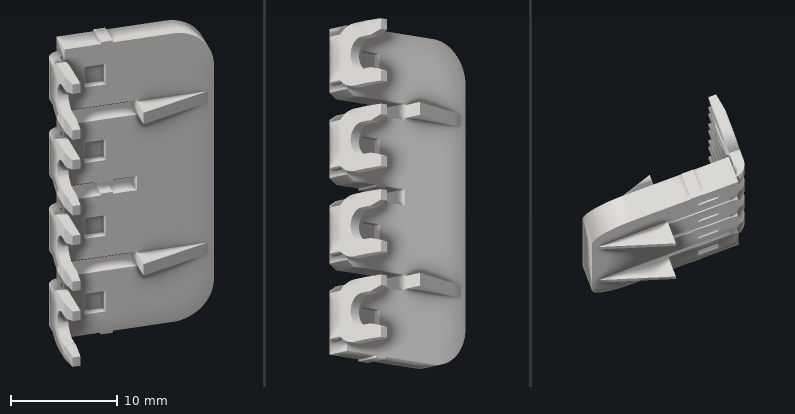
import cadquery as cq
import math


overall_length = 31.55
tooth_count = 4
tooth_pitch = 8.17
slot_width = 1.55
slot_depth = 7.1

plate_thickness = 2.55
plate_depth = 14.67
plate_length = tooth_count * tooth_pitch - slot_width
corner_radius = 4.0
tip_chamfer_y = 0.82
tip_chamfer_z = 0.55

bump_start = 3.6
bump_width = 1.17
bump_height = (overall_length - plate_length) / 2

fin_reach = 3.5
fin_thickness = 1.23
fin_back_margin = 0.63

window_start = 2.0
window_width = 2.05
window_height = 2.2

terminal_left = -0.55
metal_thickness = 1.05
terminal_drop = 1.3
bend_inner_radius = terminal_drop - metal_thickness
bend_center_x = terminal_left + terminal_drop
neck_height = 4.4
fork_height = 5.95
fork_center_x = 3.82
fork_tip_x = 7.35
fork_slot_width = 3.1
fork_slot_center_x = 4.85
flare_start_x = 6.12
flare_mouth_width = 3.95
thinning_start_x = 5.68
tip_thinning = 0.28

tooth_centers = [(i - (tooth_count - 1) / 2) * tooth_pitch for i in range(tooth_count)]
fin_centers = [-tooth_pitch, tooth_pitch]


def box(x_range, y_range, z_range):
    """Block spanning the given (low, high) ranges."""
    low, high = zip(x_range, y_range, z_range)
    size = [b - a for a, b in zip(low, high)]
    return cq.Workplane("XY").box(*size, centered=False).translate(low)


def centered_range(center, size):
    return (center - size / 2, center + size / 2)


def make_slot(z_center):
    """Gap between two teeth, widened at its mouth by the tooth tip chamfers."""
    half = slot_width / 2
    mouth = half + tip_chamfer_z
    outline = [
        (slot_depth, -half),
        (slot_depth, half),
        (tip_chamfer_y, half),
        (0, mouth),
        (0, -mouth),
        (tip_chamfer_y, -half),
    ]
    slot = cq.Workplane("YZ").polyline(outline).close().extrude(plate_thickness / 2, both=True)
    return slot.translate((0, 0, z_center))


def make_plate():
    x_range = centered_range(0, plate_thickness)
    plate = box(x_range, (0, plate_depth), centered_range(0, plate_length))
    plate = plate.edges("|X and >Y").fillet(corner_radius)
    for lower_tooth in tooth_centers[:-1]:
        plate = plate.cut(make_slot(lower_tooth + tooth_pitch / 2))

    y_range = (bump_start, bump_start + bump_width)
    for side in (-1, 1):
        outer_z = side * (plate_length + bump_height) / 2
        inner_z = side * (slot_width - bump_height) / 2
        for bump_z in (outer_z, inner_z):
            plate = plate.union(box(x_range, y_range, centered_range(bump_z, bump_height)))
    return plate


def make_fin(z_center):
    """One fin block covering both sides, flush with the slot bottom and tapering to the plate."""
    half = plate_thickness / 2
    back = plate_depth - fin_back_margin
    outline = [(-fin_reach, slot_depth), (fin_reach, slot_depth), (half, back), (-half, back)]
    fin = cq.Workplane("XY").polyline(outline).close().extrude(fin_thickness / 2, both=True)
    return fin.translate((0, 0, z_center))


def make_windows(z_center):
    """Pair of opposite pockets, leaving the metal strip between them."""
    y_range = (window_start, window_start + window_width)
    z_range = centered_range(z_center, window_height)
    left = box((-plate_thickness / 2, terminal_left), y_range, z_range)
    return left.union(left.mirror("YZ"))


def make_terminal_strip():
    """Metal strip leaving the tooth, bending towards +X and thinning at the fork tips."""
    diagonal = math.sqrt(0.5)
    outer_mid = (bend_center_x - terminal_drop * diagonal, -terminal_drop * diagonal)
    inner_mid = (bend_center_x - bend_inner_radius * diagonal, -bend_inner_radius * diagonal)
    return (
        cq.Workplane("XY")
        .moveTo(terminal_left, 0)
        .threePointArc(outer_mid, (bend_center_x, -terminal_drop))
        .lineTo(thinning_start_x, -terminal_drop)
        .lineTo(fork_tip_x, tip_thinning - terminal_drop)
        .lineTo(fork_tip_x, -bend_inner_radius)
        .lineTo(bend_center_x, -bend_inner_radius)
        .threePointArc(inner_mid, (bend_center_x - bend_inner_radius, 0))
        .close()
        .extrude(fork_height / 2, both=True)
    )


def make_fork_blank():
    """Fork outline across the metal, round-shouldered outside with a flared slot."""
    half_neck = neck_height / 2
    half_fork = fork_height / 2
    half_slot = fork_slot_width / 2
    half_mouth = flare_mouth_width / 2
    shoulder_x = fork_center_x - math.sqrt(half_fork**2 - half_neck**2)
    shoulder_mid_angle = (math.asin(half_neck / half_fork) + math.pi / 2) / 2
    mid_x = fork_center_x - half_fork * math.cos(shoulder_mid_angle)
    mid_z = half_fork * math.sin(shoulder_mid_angle)
    return (
        cq.Workplane("XZ")
        .moveTo(terminal_left, -half_neck)
        .lineTo(shoulder_x, -half_neck)
        .threePointArc((mid_x, -mid_z), (fork_center_x, -half_fork))
        .lineTo(fork_tip_x, -half_fork)
        .lineTo(fork_tip_x, -half_mouth)
        .lineTo(flare_start_x, -half_slot)
        .lineTo(fork_slot_center_x, -half_slot)
        .threePointArc((fork_slot_center_x - half_slot, 0), (fork_slot_center_x, half_slot))
        .lineTo(flare_start_x, half_slot)
        .lineTo(fork_tip_x, half_mouth)
        .lineTo(fork_tip_x, half_fork)
        .lineTo(fork_center_x, half_fork)
        .threePointArc((mid_x, mid_z), (shoulder_x, half_neck))
        .lineTo(terminal_left, half_neck)
        .close()
        .extrude(terminal_drop)
    )


result = make_plate()
for fin_z in fin_centers:
    result = result.union(make_fin(fin_z))

terminal = make_terminal_strip().intersect(make_fork_blank())
for tooth_z in tooth_centers:
    result = result.cut(make_windows(tooth_z))
    result = result.union(terminal.translate((0, 0, tooth_z)))